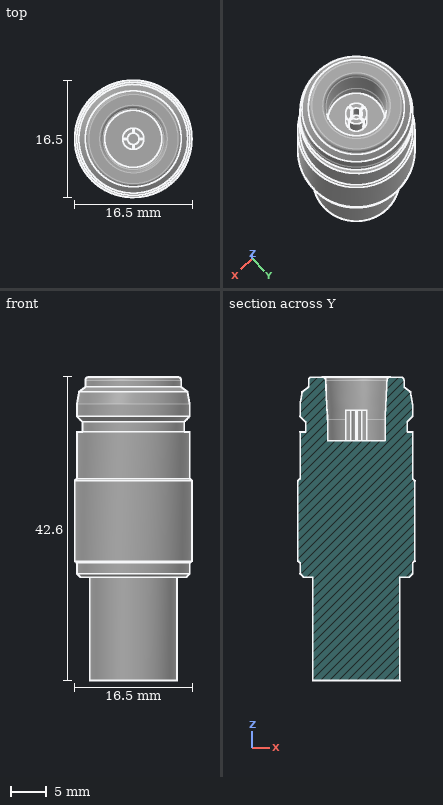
import cadquery as cq

STEM_RADIUS = 6.15
BODY_RADIUS = 7.95
SLEEVE_DIAMETER = 16.5
GROOVE_RADIUS = 7.15
COLLAR_TOP_RADIUS = 7.65
NOSE_RADIUS = 6.75

STEM_TOP = 14.5
SLEEVE_BOTTOM = 16.8
SLEEVE_TOP = 28.1
GROOVE_BOTTOM = 34.95
GROOVE_TOP = 36.35
COLLAR_TAPER_START = 38.85
COLLAR_TAPER_END = 40.55
TOTAL_HEIGHT = 42.65

LOWER_CHAMFER = 0.5
SLEEVE_BEVEL_HEIGHT = 0.25
NOSE_BEVEL_HEIGHT = 0.7
RIM_FILLET = 0.45

BORE_MOUTH_RADIUS = 4.3
BORE_RADIUS = 4.0
BORE_TAPER_DEPTH = 5.95
BORE_DEPTH = 8.95

CONTACT_RADIUS = 1.5
CONTACT_HOLE_RADIUS = 0.8
CONTACT_HEIGHT = 4.25
SLOT_WIDTH = 0.2

SLEEVE_RADIUS = SLEEVE_DIAMETER / 2
BORE_FLOOR = TOTAL_HEIGHT - BORE_DEPTH
COLLAR_BEVEL_HEIGHT = BODY_RADIUS - GROOVE_RADIUS


def make_body():
    """Revolve the stepped outline of the solid body."""
    outline = [
        (0, 0),
        (STEM_RADIUS, 0),
        (STEM_RADIUS, STEM_TOP),
        (BODY_RADIUS - LOWER_CHAMFER, STEM_TOP),
        (BODY_RADIUS, STEM_TOP + LOWER_CHAMFER),
        (BODY_RADIUS, SLEEVE_BOTTOM - SLEEVE_BEVEL_HEIGHT),
        (SLEEVE_RADIUS, SLEEVE_BOTTOM),
        (SLEEVE_RADIUS, SLEEVE_TOP),
        (BODY_RADIUS, SLEEVE_TOP + SLEEVE_BEVEL_HEIGHT),
        (BODY_RADIUS, GROOVE_BOTTOM),
        (GROOVE_RADIUS, GROOVE_BOTTOM),
        (GROOVE_RADIUS, GROOVE_TOP),
        (BODY_RADIUS, GROOVE_TOP + COLLAR_BEVEL_HEIGHT),
        (BODY_RADIUS, COLLAR_TAPER_START),
        (COLLAR_TOP_RADIUS, COLLAR_TAPER_END),
        (NOSE_RADIUS, COLLAR_TAPER_END + NOSE_BEVEL_HEIGHT),
        (NOSE_RADIUS, TOTAL_HEIGHT),
        (0, TOTAL_HEIGHT),
    ]
    return cq.Workplane("XZ").polyline(outline).close().revolve(360, (0, 0), (0, 1))


def make_bore():
    """Socket volume: a tapered mouth leading into a straight bore."""
    taper_end = TOTAL_HEIGHT - BORE_TAPER_DEPTH
    outline = [
        (0, BORE_FLOOR),
        (BORE_RADIUS, BORE_FLOOR),
        (BORE_RADIUS, taper_end),
        (BORE_MOUTH_RADIUS, TOTAL_HEIGHT),
        (0, TOTAL_HEIGHT),
    ]
    return cq.Workplane("XZ").polyline(outline).close().revolve(360, (0, 0), (0, 1))


def make_contact():
    """Hollow pin split into four fingers by crossed slots."""
    contact = (
        cq.Workplane("XY", origin=(0, 0, BORE_FLOOR))
        .circle(CONTACT_RADIUS)
        .circle(CONTACT_HOLE_RADIUS)
        .extrude(CONTACT_HEIGHT)
    )
    for angle in (0, 90):
        slot = (
            cq.Workplane("XY", origin=(0, 0, BORE_FLOOR))
            .rect(2 * CONTACT_RADIUS, SLOT_WIDTH)
            .extrude(CONTACT_HEIGHT)
            .rotate((0, 0, 0), (0, 0, 1), angle)
        )
        contact = contact.cut(slot)
    return contact


body = make_body().cut(make_bore())
body = body.faces(">Z").edges().fillet(RIM_FILLET)
result = body.union(make_contact())